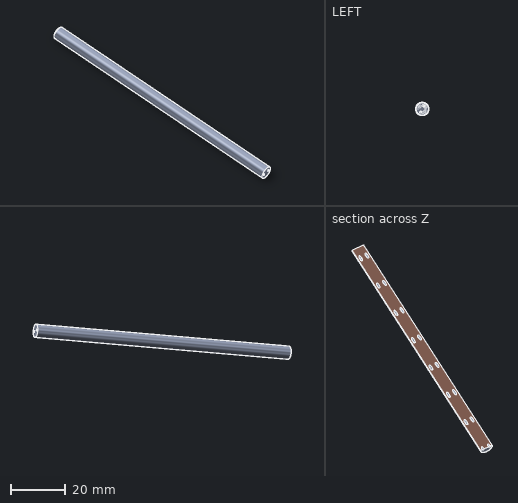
import cadquery as cq
import math

rod_length = 100.0
rod_diameter = 5.0
end_chamfer = 0.25

duct_count = 2
duct_diameter = 0.7
duct_circle_diameter = 2.6
helix_angle = 30.0

duct_lead = math.pi * rod_diameter / math.tan(math.radians(helix_angle))
duct_twist = 360.0 * rod_length / duct_lead

duct_start_angle = -duct_twist % 360.0


def rod():
    """Solid cylinder from X = 0, chamfered on the -X end only."""
    cylinder = cq.Workplane("YZ").circle(rod_diameter / 2).extrude(rod_length)
    return cylinder.faces("<X").chamfer(end_chamfer)


def coolant_ducts():
    """Equally spaced round ducts that wind around the rod axis from end to end."""
    return (
        cq.Workplane("YZ")
        .polarArray(duct_circle_diameter / 2, duct_start_angle, 360.0, duct_count)
        .circle(duct_diameter / 2)
        .twistExtrude(rod_length, duct_twist)
    )


result = rod().cut(coolant_ducts())